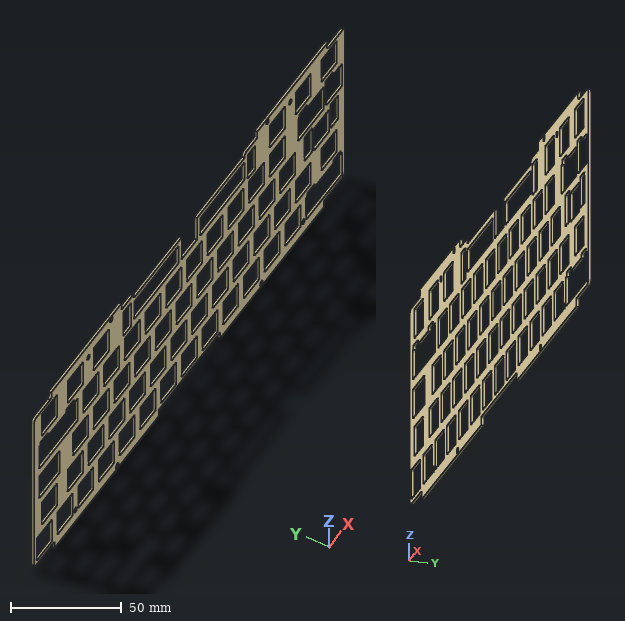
import cadquery as cq

UNIT = 19.05
COLUMNS = 15
ROWS = 5
THICKNESS = 1.5

PLATE_WIDTH = COLUMNS * UNIT
BODY_TOP = ROWS * UNIT / 2
TAB_HEIGHT = 4.0
TAB_TOP = BODY_TOP + TAB_HEIGHT
CORNER_RADIUS = 2.0

SWITCH = 14.0
STAB_WIDTH = 7.0
STAB_LONG_SIDE = 9.0
STAB_SHORT_SIDE = 6.0
STAB_OFFSET = 11.938
SPACEBAR_STAB_OFFSET = 3 * UNIT

OPENING_RADIUS = 0.5

HOLE_DIAMETER = 2.5

TOP_TAB_INNER = 62.4
TOP_TAB_OUTER = 127.4
TOP_TAB_FOOT = 128.0
TAB_RELIEF_DEPTH = 1.0
TAB_FILLET = 0.5
BOTTOM_TAB_INNER = 28.2
BOTTOM_TAB_OUTER = 6.5 * UNIT

TOP_ROW_Z = 2 * UNIT
RIM = 3.0
SPACEBAR_Z_TOP = TOP_ROW_Z + SWITCH / 2
SPACEBAR_Z_BOTTOM = TOP_ROW_Z - SWITCH / 2
WINDOW_INNER = SWITCH / 2 + RIM
WINDOW_OUTER = SPACEBAR_STAB_OFFSET - STAB_WIDTH / 2 - RIM

HOLES = [
    (71.9, BODY_TOP + TAB_HEIGHT / 2),
    (66.3, -BODY_TOP - TAB_HEIGHT / 2),
    (92.8, 43.8),
    (5.5 * UNIT, -44.1),
]

KEY_ROWS = [
    [0.75, 2, 3.25, 11.75, 13, 14.25],
    [0.625, 1.125, 1.75] + [2.75 + i for i in range(10)] + [13.125, 13.625, 14.5],
    [0.625, 0.875] + [2.25 + i for i in range(11)] + [13.875],
    [0.75] + [2 + i for i in range(12)] + [14.25],
    [0.5 + i for i in range(14)] + [14, 14.5],
]

STABILISED_KEYS = [(1, 1.125), (1, 13.625), (2, 13.875), (4, 14)]


def column_x(units):
    return units * UNIT - PLATE_WIDTH / 2


def row_z(row):
    return TOP_ROW_Z - row * UNIT


def block(x_min, x_max, z_min, z_max):
    """Round-cornered box through the plate thickness, given by its extents in X and Z."""
    return (
        cq.Workplane("XY")
        .box(x_max - x_min, THICKNESS, z_max - z_min)
        .translate(((x_min + x_max) / 2, 0, (z_min + z_max) / 2))
        .edges("|Y")
        .fillet(OPENING_RADIUS)
    )


def cylinder(x, z, diameter):
    """Cylinder along Y through the plate thickness."""
    return cq.Workplane("XZ").center(x, z).circle(diameter / 2).extrude(THICKNESS / 2, both=True)


def stabiliser_slots(x, z, offset, direction=1):
    """Pair of slots beside a key; direction -1 turns the long side down."""
    z_ends = sorted([z + direction * STAB_LONG_SIDE, z - direction * STAB_SHORT_SIDE])
    return [
        block(centre - STAB_WIDTH / 2, centre + STAB_WIDTH / 2, *z_ends)
        for centre in (x - offset, x + offset)
    ]


def half_blank():
    """Right half of the solid plate, with tabs and the lowered edge at the spacebar."""
    edge = PLATE_WIDTH / 2
    step = WINDOW_OUTER
    relief_x = TOP_TAB_OUTER - TAB_RELIEF_DEPTH
    relief_z = BODY_TOP + TAB_HEIGHT / 2
    blank = (
        cq.Workplane("XZ")
        .moveTo(0, SPACEBAR_Z_BOTTOM)
        .lineTo(SWITCH / 2, SPACEBAR_Z_BOTTOM)
        .lineTo(SWITCH / 2, SPACEBAR_Z_TOP)
        .lineTo(step, SPACEBAR_Z_TOP)
        .lineTo(step, BODY_TOP - CORNER_RADIUS)
        .radiusArc((step + CORNER_RADIUS, BODY_TOP), CORNER_RADIUS)
        .lineTo(TOP_TAB_INNER - TAB_FILLET, BODY_TOP)
        .radiusArc((TOP_TAB_INNER, BODY_TOP + TAB_FILLET), -TAB_FILLET)
        .lineTo(TOP_TAB_INNER, TAB_TOP)
        .lineTo(TOP_TAB_OUTER, TAB_TOP)
        .threePointArc((relief_x, relief_z), (TOP_TAB_FOOT, BODY_TOP))
        .lineTo(edge - CORNER_RADIUS, BODY_TOP)
        .radiusArc((edge, BODY_TOP - CORNER_RADIUS), CORNER_RADIUS)
        .lineTo(edge, CORNER_RADIUS - BODY_TOP)
        .radiusArc((edge - CORNER_RADIUS, -BODY_TOP), CORNER_RADIUS)
        .lineTo(BOTTOM_TAB_OUTER + TAB_FILLET, -BODY_TOP)
        .radiusArc((BOTTOM_TAB_OUTER, -BODY_TOP - TAB_FILLET), -TAB_FILLET)
        .lineTo(BOTTOM_TAB_OUTER, -TAB_TOP)
        .lineTo(BOTTOM_TAB_INNER, -TAB_TOP)
        .lineTo(BOTTOM_TAB_INNER, -BODY_TOP - TAB_FILLET)
        .radiusArc((BOTTOM_TAB_INNER - TAB_FILLET, -BODY_TOP), -TAB_FILLET)
        .lineTo(0, -BODY_TOP)
        .close()
    )
    return blank.extrude(THICKNESS / 2, both=True)


def switch_cutters():
    half = SWITCH / 2
    cutters = []
    for row, keys in enumerate(KEY_ROWS):
        z = row_z(row)
        for units in keys:
            x = column_x(units)
            cutters.append(block(x - half, x + half, z - half, z + half))
    return cutters


def stabiliser_cutters():
    cutters = stabiliser_slots(0, TOP_ROW_Z, SPACEBAR_STAB_OFFSET, direction=-1)
    for row, units in STABILISED_KEYS:
        cutters += stabiliser_slots(column_x(units), row_z(row), STAB_OFFSET)
    return cutters


def window_cutters():
    """Two long windows between the spacebar switch and its stabilisers."""
    z_ends = (SPACEBAR_Z_BOTTOM, SPACEBAR_Z_TOP - RIM)
    return [
        block(-WINDOW_OUTER, -WINDOW_INNER, *z_ends),
        block(WINDOW_INNER, WINDOW_OUTER, *z_ends),
    ]


def hole_cutters():
    return [cylinder(side * x, z, HOLE_DIAMETER) for x, z in HOLES for side in (-1, 1)]


right_half = half_blank()
plate = right_half.union(right_half.mirror("YZ")).clean()
cutters = switch_cutters() + stabiliser_cutters() + window_cutters() + hole_cutters()
result = cq.Workplane(plate.val().cut(*[cutter.val() for cutter in cutters]).Solids()[0])